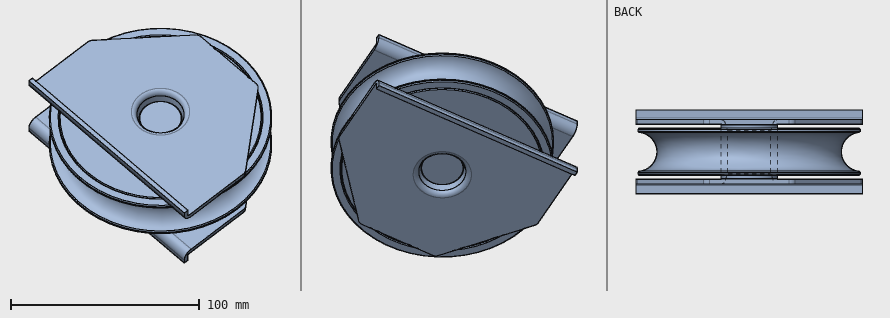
import cadquery as cq
import math

wheel_diameter = 118.0
wheel_radius = wheel_diameter / 2
wheel_half_width = 12.5
plate_clearance = 2.0
sheet_thickness = 2.6
plate_inner_z = wheel_half_width + plate_clearance
plate_outer_z = plate_inner_z + sheet_thickness

rim_chamfer = 0.6
tread_radius = 10.3
tread_root_radius = 49.0
tread_edge_radius = wheel_radius - rim_chamfer
tread_center_radius = tread_root_radius + tread_radius
tread_half_width = math.sqrt(tread_radius**2 - (tread_center_radius - tread_edge_radius)**2)
face_groove_radius = 53.8
face_groove_half_width = 0.54
face_groove_depth = 0.54

hub_radius = 15.0
hub_chamfer = 0.4

axle_radius = 11.4
axle_chamfer = 0.42
axle_half_length = 11.4
hub_bore_half_length = axle_half_length - axle_chamfer

plate_half_length = 60.0
plate_back_y = 49.5
plate_front_y = -39.4
plate_back_half_length = 23.0
plate_shoulder_y = 5.0
plate_corner_radius = 4.0
overall_height = 44.5
flange_tip_z = overall_height / 2
bend_outer_radius = 5.0
bend_inner_radius = 0.7

mouth_radius = 15.5
plate_hole_radius = 12.5
mouth_rounding = 3.0


def make_wheel():
    """Round-grooved wheel, bored to fit over the hub."""
    profile = (
        cq.Workplane("XZ")
        .moveTo(0, -wheel_half_width)
        .lineTo(wheel_radius - rim_chamfer, -wheel_half_width)
        .lineTo(wheel_radius, -wheel_half_width + rim_chamfer)
        .lineTo(wheel_radius, -tread_half_width - rim_chamfer)
        .lineTo(tread_edge_radius, -tread_half_width)
        .threePointArc((tread_root_radius, 0), (tread_edge_radius, tread_half_width))
        .lineTo(wheel_radius, tread_half_width + rim_chamfer)
        .lineTo(wheel_radius, wheel_half_width - rim_chamfer)
        .lineTo(wheel_radius - rim_chamfer, wheel_half_width)
        .lineTo(0, wheel_half_width)
        .close()
    )
    wheel = profile.revolve(360, (0, 0), (0, 1))

    bore = cq.Workplane("XY").circle(hub_radius).extrude(wheel_half_width, both=True)
    wheel = wheel.cut(bore)
    for side in (1, -1):
        wheel = wheel.cut(make_face_groove(side))
    return wheel


def make_face_groove(side):
    """V-shaped ring to remove from the upper (side 1) or lower (side -1) face."""
    face_z = side * wheel_half_width
    return (
        cq.Workplane("XZ")
        .moveTo(face_groove_radius - face_groove_half_width, face_z)
        .lineTo(face_groove_radius + face_groove_half_width, face_z)
        .lineTo(face_groove_radius, face_z - side * face_groove_depth)
        .close()
        .revolve(360, (0, 0), (0, 1))
    )


def make_hub():
    """Sleeve between the plates, its bore flaring at both ends to the plate holes."""
    profile = (
        cq.Workplane("XZ")
        .moveTo(axle_radius, -hub_bore_half_length)
        .lineTo(plate_hole_radius, -plate_inner_z)
        .lineTo(hub_radius - hub_chamfer, -plate_inner_z)
        .lineTo(hub_radius, -plate_inner_z + hub_chamfer)
        .lineTo(hub_radius, plate_inner_z - hub_chamfer)
        .lineTo(hub_radius - hub_chamfer, plate_inner_z)
        .lineTo(plate_hole_radius, plate_inner_z)
        .lineTo(axle_radius, hub_bore_half_length)
        .close()
    )
    return profile.revolve(360, (0, 0), (0, 1))


def make_axle():
    """Solid axle with chamfered ends."""
    return (
        cq.Workplane("XY")
        .circle(axle_radius)
        .extrude(axle_half_length, both=True)
        .edges()
        .chamfer(axle_chamfer)
    )


def make_plate_sheet():
    """Flat part of the upper plate, up to the start of the bend."""
    sheet = (
        cq.Workplane("XY", origin=(0, 0, plate_inner_z))
        .moveTo(-plate_half_length, plate_front_y + bend_outer_radius)
        .lineTo(plate_half_length, plate_front_y + bend_outer_radius)
        .lineTo(plate_half_length, plate_shoulder_y)
        .lineTo(plate_back_half_length, plate_back_y)
        .lineTo(-plate_back_half_length, plate_back_y)
        .lineTo(-plate_half_length, plate_shoulder_y)
        .close()
        .extrude(sheet_thickness)
    )
    square_corners = sheet.faces("<Y").edges("|Z").vals()
    rounded_corners = [edge for edge in sheet.edges("|Z").vals() if edge not in square_corners]
    return sheet.newObject(rounded_corners).fillet(plate_corner_radius)


def make_flange():
    """Bend and upturned flange along the front edge of the upper plate."""
    bend_start_y = plate_front_y + bend_outer_radius
    bend_end_z = plate_inner_z + bend_outer_radius
    flange_back_y = plate_front_y + sheet_thickness
    return (
        cq.Workplane("YZ", origin=(-plate_half_length, 0, 0))
        .moveTo(bend_start_y, plate_inner_z)
        .radiusArc((plate_front_y, bend_end_z), bend_outer_radius)
        .lineTo(plate_front_y, flange_tip_z)
        .lineTo(flange_back_y, flange_tip_z)
        .lineTo(flange_back_y, plate_outer_z + bend_inner_radius)
        .radiusArc((flange_back_y + bend_inner_radius, plate_outer_z), -bend_inner_radius)
        .lineTo(bend_start_y, plate_outer_z)
        .close()
        .extrude(2 * plate_half_length)
    )


def make_hole():
    """Volume of the upper plate's hole, with a mouth rounded through the whole sheet."""
    return (
        cq.Workplane("XZ")
        .moveTo(0, plate_inner_z)
        .lineTo(plate_hole_radius, plate_inner_z)
        .radiusArc((mouth_radius, plate_outer_z), mouth_rounding)
        .lineTo(0, plate_outer_z)
        .close()
        .revolve(360, (0, 0), (0, 1))
    )


def make_plate(side):
    """Flanged side plate above (side 1) or below (side -1) the wheel."""
    plate = make_plate_sheet().union(make_flange()).cut(make_hole())
    return plate if side > 0 else plate.mirror("XY")


wheel = make_wheel()
hub = make_hub()
axle = make_axle()
plates = [make_plate(side) for side in (1, -1)]

result = cq.Compound.makeCompound([
    wheel.val(),
    hub.val(),
    axle.val(),
    *[plate.val() for plate in plates],
])